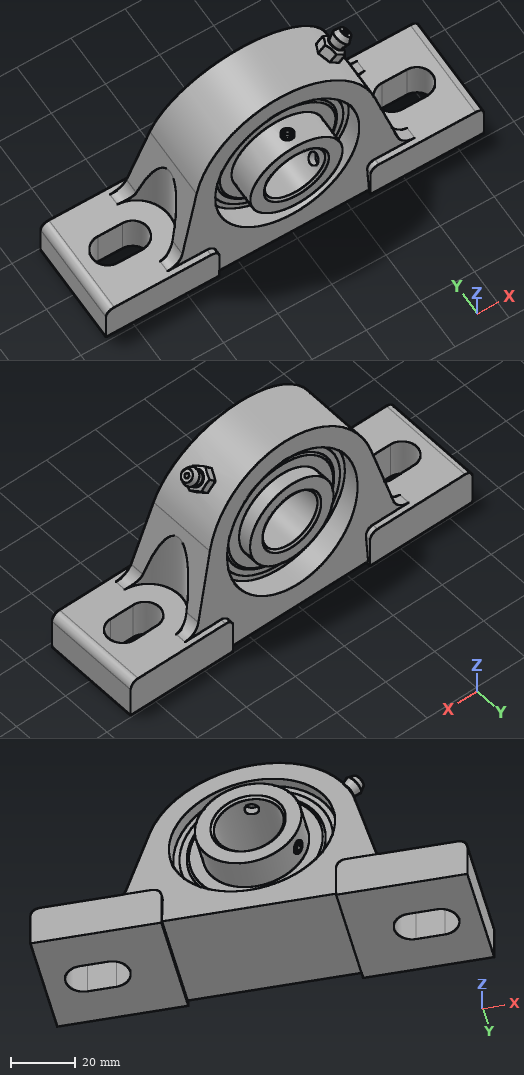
import cadquery as cq
import math


base_length = 139.7
base_width = 38.0
foot_height = 15.0
foot_edge_radius = 3.1
foot_inner_x = 28.0

slot_offset = 52.5
slot_length = 20.7
slot_width = 11.5

axis_height = 36.5
dome_radius = 34.1
flank_angle = math.radians(15)
flank_fillet = 6.0
web_underside = 1.4
web_bottom_width = 36.2
web_top_width = 22.1

scallop_radius = 12.5
scallop_offset = 46.5

seat_radius = 26.0
seat_width = 17.0
mouth_radius = 26.5

nipple_angle = 45.0
nipple_root_depth = 1.4
hex_across_flats = 8.0
hex_height = 4.2
hex_bevel_height = 0.8
hex_bevel_width = 1.7
neck_radius = 2.5
head_radius = 3.2
head_start = 7.3
head_end = 9.5
tip_radius = 2.2
grease_hole_radius = 0.8
grease_hole_depth = 2.8

bore_radius = 11.2
bore_chamfer = 0.8
inner_ring_radius = 17.0
inner_ring_front = 19.8
inner_ring_back = 14.2
shield_radius = 22.2
shield_bevel_width = 0.8
shield_thickness = 0.4

screw_y = -14.7
screw_angles = (0.0, 120.0)
screw_radius = 2.2
screw_inner_end = 14.0
screw_outer_end = 17.5
screw_chamfer = 0.3
socket_across_flats = 2.2
socket_depth = 2.1

dome_top = axis_height + dome_radius
half_seat = seat_width / 2
seat_edge_radius = math.sqrt(seat_radius**2 - half_seat**2)
across_corners = 1 / math.cos(math.radians(30))


def y_cylinder(radius, y_start, y_end):
    """Cylinder on the shaft axis between two Y positions."""
    start = cq.Vector(0, y_start, axis_height)
    return cq.Workplane(cq.Solid.makeCylinder(radius, y_end - y_start, start, cq.Vector(0, 1, 0)))


def radial(part, angle, y):
    """Move a part built upward from the origin onto a radius of the shaft axis."""
    return part.rotate((0, 0, 0), (0, 1, 0), angle).translate((0, y, axis_height))


def make_foot(side):
    """One foot with rounded top ends; side is -1 or 1."""
    length = base_length / 2 - foot_inner_x
    return (
        cq.Workplane("XY")
        .center(side * (foot_inner_x + length / 2), 0)
        .rect(length, base_width)
        .extrude(foot_height)
        .edges("|Y and >Z")
        .fillet(foot_edge_radius)
    )


def make_web():
    """Domed web with leaning flanks, thinning toward the top."""
    sin_a = math.sin(flank_angle)
    cos_a = math.cos(flank_angle)

    dome_end_x = dome_radius * cos_a
    dome_end_z = axis_height + dome_radius * sin_a

    fillet_start_z = foot_height + flank_fillet * (1 - sin_a)
    fillet_start_x = dome_end_x + (dome_end_z - fillet_start_z) * math.tan(flank_angle)
    fillet_end_x = fillet_start_x + flank_fillet * cos_a

    mid_angle = (math.pi / 2 + flank_angle) / 2
    fillet_mid_x = fillet_end_x - flank_fillet * math.cos(mid_angle)
    fillet_mid_z = foot_height + flank_fillet * (1 - math.sin(mid_angle))

    outline = (
        cq.Workplane("XZ")
        .moveTo(-fillet_end_x, web_underside)
        .lineTo(fillet_end_x, web_underside)
        .lineTo(fillet_end_x, foot_height)
        .threePointArc((fillet_mid_x, fillet_mid_z), (fillet_start_x, fillet_start_z))
        .lineTo(dome_end_x, dome_end_z)
        .threePointArc((0, dome_top), (-dome_end_x, dome_end_z))
        .lineTo(-fillet_start_x, fillet_start_z)
        .threePointArc((-fillet_mid_x, fillet_mid_z), (-fillet_end_x, foot_height))
        .close()
        .extrude(base_width / 2, both=True)
    )
    taper = (
        cq.Workplane("YZ")
        .moveTo(-web_bottom_width / 2, web_underside)
        .lineTo(web_bottom_width / 2, web_underside)
        .lineTo(web_top_width / 2, dome_top)
        .lineTo(-web_top_width / 2, dome_top)
        .close()
        .extrude(base_length / 2, both=True)
    )
    return outline.intersect(taper)


def make_nipple():
    """Grease nipple: hexagon, waisted neck and bevelled head with a grease hole."""
    hex_corner = hex_across_flats * across_corners / 2
    root = dome_radius - nipple_root_depth
    hex_top = dome_radius + hex_height

    hexagon = (
        cq.Workplane("XY", origin=(0, 0, root))
        .polygon(6, 2 * hex_corner)
        .extrude(hex_top - root)
    )
    hexagon_limit = (
        cq.Workplane("XZ")
        .moveTo(0, root)
        .lineTo(hex_corner, root)
        .lineTo(hex_corner, hex_top - hex_bevel_height)
        .lineTo(hex_corner - hex_bevel_width, hex_top)
        .lineTo(0, hex_top)
        .close()
        .revolve(360, (0, 0, 0), (0, 1, 0))
    )
    head = (
        cq.Workplane("XZ")
        .moveTo(0, root)
        .lineTo(neck_radius, root)
        .lineTo(neck_radius, hex_top)
        .lineTo(head_radius, dome_radius + head_start)
        .lineTo(tip_radius, dome_radius + head_end)
        .lineTo(0, dome_radius + head_end)
        .close()
        .revolve(360, (0, 0, 0), (0, 1, 0))
    )
    nipple = (
        hexagon.intersect(hexagon_limit)
        .union(head)
        .faces(">Z")
        .workplane()
        .circle(grease_hole_radius)
        .cutBlind(-grease_hole_depth)
    )
    return radial(nipple, nipple_angle, 0)


def make_housing():
    """Feet, web, bolt slots, scallops, bearing seat and grease nipple as one solid."""
    housing = make_web()
    for side in (-1, 1):
        slot = (
            cq.Workplane("XY")
            .center(side * slot_offset, 0)
            .slot2D(slot_length, slot_width)
            .extrude(foot_height)
        )
        scallop = (
            cq.Workplane("XY", origin=(side * scallop_offset, 0, foot_height))
            .circle(scallop_radius)
            .extrude(axis_height)
        )
        housing = housing.cut(scallop).union(make_foot(side)).cut(slot)

    housing = housing.union(make_nipple())

    seat = (
        cq.Workplane("XY")
        .moveTo(0, -half_seat)
        .lineTo(seat_edge_radius, -half_seat)
        .threePointArc((seat_radius, 0), (seat_edge_radius, half_seat))
        .lineTo(0, half_seat)
        .close()
        .revolve(360, (0, 0, 0), (0, 1, 0))
        .translate((0, 0, axis_height))
    )
    housing = housing.cut(seat)
    housing = housing.cut(y_cylinder(mouth_radius, -base_width / 2, -half_seat))
    return housing.cut(y_cylinder(mouth_radius, half_seat, base_width / 2))


def make_screw():
    """Socket set screw pointing up, its heights measured from the shaft axis."""
    return (
        cq.Workplane("XY", origin=(0, 0, screw_inner_end))
        .circle(screw_radius)
        .extrude(screw_outer_end - screw_inner_end)
        .faces(">Z")
        .chamfer(screw_chamfer)
        .faces(">Z")
        .workplane()
        .transformed(rotate=(0, 0, 90))
        .polygon(6, socket_across_flats * across_corners)
        .cutBlind(-socket_depth)
    )


def make_insert():
    """Bearing insert with a spherical outer ring, shields, inner ring and set screws."""
    shield_face_radius = shield_radius - shield_bevel_width
    shield_face = half_seat + shield_thickness
    chamfer_radius = bore_radius + bore_chamfer

    insert = (
        cq.Workplane("XY")
        .moveTo(bore_radius, -inner_ring_front + bore_chamfer)
        .lineTo(chamfer_radius, -inner_ring_front)
        .lineTo(inner_ring_radius, -inner_ring_front)
        .lineTo(inner_ring_radius, -shield_face)
        .lineTo(shield_face_radius, -shield_face)
        .lineTo(shield_radius, -half_seat)
        .lineTo(seat_edge_radius, -half_seat)
        .threePointArc((seat_radius, 0), (seat_edge_radius, half_seat))
        .lineTo(shield_radius, half_seat)
        .lineTo(shield_face_radius, shield_face)
        .lineTo(inner_ring_radius, shield_face)
        .lineTo(inner_ring_radius, inner_ring_back)
        .lineTo(chamfer_radius, inner_ring_back)
        .lineTo(bore_radius, inner_ring_back - bore_chamfer)
        .close()
        .revolve(360, (0, 0, 0), (0, 1, 0))
        .translate((0, 0, axis_height))
    )
    screw_hole = cq.Workplane("XY").circle(screw_radius).extrude(screw_outer_end)
    for angle in screw_angles:
        insert = insert.cut(radial(screw_hole, angle, screw_y))
        insert = insert.union(radial(make_screw(), angle, screw_y))
    return insert


housing = make_housing()
insert = make_insert()

result = cq.Compound.makeCompound([housing.solids().val(), insert.solids().val()])